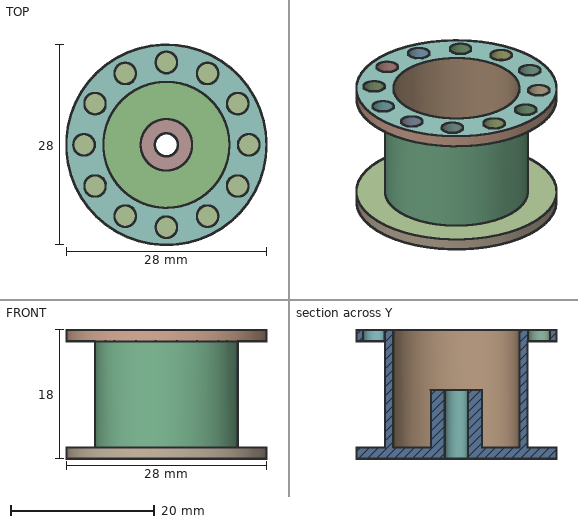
import cadquery as cq

flange_diameter = 28.0
height = 18.0
flange_thickness = 1.6
barrel_diameter = 20.0

bore_diameter = 17.6
floor_thickness = flange_thickness
hub_diameter = 7.2
hub_height = 8.0
shaft_hole_diameter = 3.2

rim_hole_count = 12
rim_hole_diameter = 3.0
rim_hole_circle_radius = 11.5


def cylinder(diameter, length, base_z=0.0):
    """Upright cylinder on the spool axis."""
    return cq.Workplane("XY").workplane(offset=base_z).circle(diameter / 2).extrude(length)


upper_flange_z = height - flange_thickness

spool = cylinder(barrel_diameter, height)
for flange_z in (0.0, upper_flange_z):
    spool = spool.union(cylinder(flange_diameter, flange_thickness, flange_z))

spool = spool.cut(cylinder(bore_diameter, height - floor_thickness, floor_thickness))
spool = spool.union(cylinder(hub_diameter, hub_height, floor_thickness))
spool = spool.cut(cylinder(shaft_hole_diameter, height))

rim_holes = (
    cq.Workplane("XY")
    .workplane(offset=upper_flange_z)
    .polarArray(rim_hole_circle_radius, 0, 360, rim_hole_count)
    .circle(rim_hole_diameter / 2)
    .extrude(flange_thickness)
)
result = spool.cut(rim_holes)